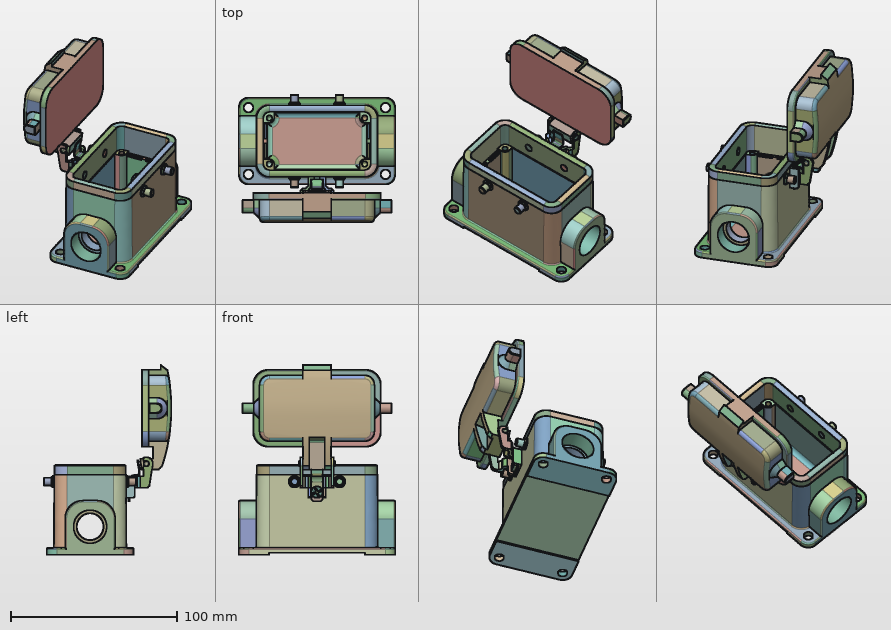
import cadquery as cq
import math

flange_length = 94.0
flange_width = 52.2
flange_height = 4.1
flange_corner = 6.0
edge_round = 0.8
underside_length = 57.5
underside_height = 1.1
mount_hole_diameter = 5.6
mount_hole_x = 41.2
mount_hole_y = 20.1

body_length = 73.4
body_width = 43.8
body_corner = 8.0
body_height = 48.1
body_draft = 0.35
foot_round = 0.7

rim_length = 72.6
rim_width = 43.1
rim_corner = 7.8
rim_wall = 4.1
rim_shoulder_z = 53.4
rim_top_z = 54.2
crown_overlap = 0.6

cavity_floor_z = 4.1
cavity_length = 59.5
cavity_width = 34.0
cavity_corner = 3.4
cavity_floor_round = 3.0
seat_z = 36.5
ledge_drop = 1.1

post_reach_x = 25.8
post_reach_y = 11.0
post_round = 3.0
post_hole_diameter = 3.3
post_hole_x = 28.6
post_hole_y = 13.8
post_hole_depth = 5.7
ledge_groove_width = 1.5
ledge_groove_x = 30.8
ledge_groove_end = 10.3
ledge_rib_width = 3.0

entry_width = 30.1
entry_height = 32.6
entry_corner = 10.8
entry_axis_z = 16.9
entry_bore_diameter = 16.0
entry_counterbore_diameter = 20.0
entry_counterbore_depth = 10.3

stud_diameter = 4.8
stud_collar_diameter = 7.0
stud_x = 13.51
stud_z = 43.9
stud_tip_y = 27.9
stud_collar_y = 23.3
stud_collar_slope = 0.9
stud_collar_step = 0.3
stud_chamfer = 0.4
stud_recess_depth = 0.2

hinge_y = -33.7
hinge_z = 54.7
hinge_pin_diameter = 3.3
hinge_pin_half_length = 11.0
hinge_pin_round = 0.7

sheet = 1.6
bracket_top_z = 47.3
channel_half_width = 5.4
channel_bottom_z = 34.2
channel_front_y = -26.9
channel_back_y = -21.4
wing_bottom_z = 40.1
wing_back_y = -28.4
ear_outer_x = 10.1
ear_back_y = -31.9
ear_radius = 4.0
ear_foot_y = -34.3
ear_foot_chamfer = 1.4
bracket_notch_width = 3.4
bracket_notch_depth = 1.1

leaf_width = 6.8
leaf_thickness = 0.7
leaf_bottom_z = 32.1
leaf_corner = 1.1
leaf_bend_radius = 3.4
leaf_rise_radius = 1.4
leaf_gap = 0.1
leaf_tip_offset = 1.0

screw_head_diameter = 7.0
screw_z = 37.6
screw_head_height = 1.8
screw_slot_length = 4.8
screw_slot_width = 1.0
screw_slot_depth = 0.9
screw_slot_angle = 20

cover_z = 88.0
plate_length = 76.8
plate_height = 46.4
plate_corner = 9.3
plate_back_y = -31.1
plate_front_y = -35.3
plate_round = 0.7

bulge_length = 69.1
bulge_height = 39.7
bulge_corner = 5.9
bulge_round = 2.4
dome_front_y = -48.9
dome_radius = 110.6

arm_width = 16.9
arm_bottom_z = 51.2
arm_back_y = -37.6
arm_foot_chamfer = 2.3
hook_top_z = 114.0
hook_back_y = -42.4
hook_front_z = 110.8
lobe_top_z = 57.7
lobe_top_y = -30.0
lobe_bottom_y = -30.9
lobe_overlap = 1.1

recess_width = 9.6
recess_top_z = 71.0
recess_ceiling_z = 68.6
recess_floor_y = -39.9
recess_round = 1.5

handle_radius = 3.02
handle_axis_y = -40.1
handle_tip_x = 44.9
handle_tip_chamfer = 0.5
cone_tip_x = 38.1
cone_root_x = 33.7
cone_root_radius = 7.1


def rounded_block(length, width, z_low, z_high, corner):
    """Upright block centred on the Z axis with rounded vertical edges."""
    return (
        cq.Workplane("XY", origin=(0, 0, z_low))
        .rect(length, width)
        .extrude(z_high - z_low)
        .edges("|Z")
        .fillet(corner)
    )


def centred_extrusion(points, width):
    """Closed outline of (y, z) points extruded to both sides of X = 0."""
    return cq.Workplane("YZ").polyline(points).close().extrude(width / 2, both=True)


def flange():
    plate = rounded_block(flange_length, flange_width, 0, flange_height, flange_corner)
    return plate.faces(">Z").edges().fillet(edge_round)


def drafted_body():
    outline = cq.Sketch().rect(body_length, body_width).vertices().fillet(body_corner)
    return cq.Workplane("XY").placeSketch(outline).extrude(body_height, taper=body_draft)


def cable_entries():
    """Arched blocks at both ends, flush with the ends of the flange."""
    arch = (
        cq.Workplane("YZ")
        .rect(entry_width, 2 * entry_height)
        .extrude(flange_length / 2, both=True)
        .edges("|X")
        .fillet(entry_corner)
    )
    above_ground = cq.Workplane("XY").box(
        flange_length, entry_width, entry_height, centered=(True, True, False)
    )
    arch = arch.intersect(above_ground)
    return arch.faces("<X or >X").edges("not <Z").fillet(edge_round)


def rim():
    return rounded_block(rim_length, rim_width, cavity_floor_z, rim_top_z, rim_corner)


def rim_crown_cutter():
    """Everything above the rounded crown of the rim, swept around the opening."""
    middle_y = (rim_wall - rim_width) / 2
    rise = rim_top_z - rim_shoulder_z
    radius = ((rim_wall / 2) ** 2 + rise**2) / (2 * rise)
    half_span = rim_wall / 2 + crown_overlap
    edge_z = rim_top_z - radius + math.sqrt(radius**2 - half_span**2)
    path = (
        cq.Workplane("XY")
        .rect(rim_length - rim_wall, rim_width - rim_wall)
        .extrude(1.1)
        .edges("|Z")
        .fillet(rim_corner - rim_wall / 2)
        .faces("<Z")
        .wires()
    )
    profile = (
        cq.Workplane("YZ")
        .moveTo(middle_y - half_span, edge_z)
        .threePointArc((middle_y, rim_top_z), (middle_y + half_span, edge_z))
        .lineTo(middle_y + half_span, rim_top_z + rise)
        .lineTo(middle_y - half_span, rim_top_z + rise)
        .close()
    )
    return profile.sweep(path)


def studs():
    """Locking studs on both long sides."""
    radius = stud_diameter / 2
    collar_radius = stud_collar_diameter / 2
    outline = [
        (0, 0),
        (collar_radius, 0),
        (collar_radius, stud_collar_y - stud_collar_slope),
        (radius + stud_collar_step, stud_collar_y),
        (radius, stud_collar_y),
        (radius, stud_tip_y - stud_chamfer),
        (radius - stud_chamfer, stud_tip_y),
        (0, stud_tip_y),
    ]
    stud = cq.Workplane("XY").polyline(outline).close().revolve(360, (0, 0, 0), (0, 1, 0))
    group = cq.Workplane("XY")
    for turn in (0, 180):
        for x in (-stud_x, stud_x):
            group = group.union(stud.rotate((0, 0, 0), (0, 0, 1), turn).translate((x, 0, stud_z)))
    return group


def posts():
    """Corner posts that carry the insert, flared where they meet the floor."""
    size_x = rim_length / 2 - post_reach_x
    size_y = rim_width / 2 - post_reach_y
    centres = [
        (side_x * (post_reach_x + size_x / 2), side_y * (post_reach_y + size_y / 2))
        for side_x in (-1, 1)
        for side_y in (-1, 1)
    ]
    columns = (
        cq.Workplane("XY")
        .pushPoints(centres)
        .rect(size_x, size_y)
        .extrude(seat_z)
        .edges("|Z")
        .fillet(post_round)
    )
    ground = cq.Workplane("XY").box(
        flange_length, flange_length, cavity_floor_z, centered=(True, True, False)
    )
    foot = cq.selectors.BoxSelector(
        (-45.6, -45.6, cavity_floor_z - 0.1), (45.6, 45.6, cavity_floor_z + 0.1)
    )
    return columns.union(ground).edges(foot).fillet(cavity_floor_round)


def cavity():
    """Inside space: wide above the seat, narrower below with corner posts and a rounded floor."""
    upper = rounded_block(
        rim_length - 2 * rim_wall,
        rim_width - 2 * rim_wall,
        seat_z,
        rim_top_z,
        rim_corner - rim_wall,
    )
    lower = rounded_block(cavity_length, cavity_width, cavity_floor_z, seat_z, cavity_corner)
    lower = lower.union(
        cq.Workplane("XY", origin=(0, 0, seat_z - ledge_drop))
        .rect(rim_length - 2 * rim_wall, 2 * post_reach_y)
        .extrude(ledge_drop)
    )
    lower = lower.faces("<Z").edges().fillet(cavity_floor_round)
    return lower.cut(posts()).union(upper)


def post_holes():
    radius = post_hole_diameter / 2
    drill = (
        cq.Workplane("XZ")
        .polyline([(0, 0), (radius, 0), (radius, -post_hole_depth), (0, -post_hole_depth - radius)])
        .close()
        .revolve(360, (0, 0, 0), (0, 1, 0))
    )
    group = cq.Workplane("XY")
    for x in (-post_hole_x, post_hole_x):
        for y in (-post_hole_y, post_hole_y):
            group = group.union(drill.translate((x, y, seat_z)))
    return group


def ledge_grooves():
    """Narrow grooves in the end ledges, interrupted by a rib in the middle."""
    length = ledge_groove_end - ledge_rib_width / 2
    middle = ledge_groove_end - length / 2
    centres = [
        (side_x * ledge_groove_x, side_y * middle) for side_x in (-1, 1) for side_y in (-1, 1)
    ]
    return (
        cq.Workplane("XY", origin=(0, 0, seat_z - 2 * ledge_drop))
        .pushPoints(centres)
        .rect(ledge_groove_width, length)
        .extrude(2 * ledge_drop)
    )


def entry_bores():
    """Through bore along X with a counterbore at each end."""
    def bore(diameter, start_x, end_x):
        return (
            cq.Workplane("YZ", origin=(start_x, 0, entry_axis_z))
            .circle(diameter / 2)
            .extrude(end_x - start_x)
        )

    end_x = flange_length / 2
    seat_x = end_x - entry_counterbore_depth
    tool = bore(entry_bore_diameter, -end_x, end_x)
    tool = tool.union(bore(entry_counterbore_diameter, -end_x, -seat_x))
    return tool.union(bore(entry_counterbore_diameter, seat_x, end_x))


def stud_recesses():
    """Shallow round marks on the inner walls behind the studs."""
    reach = rim_width / 2 - rim_wall + stud_recess_depth
    return (
        cq.Workplane("XZ", origin=(0, 0, stud_z))
        .pushPoints([(-stud_x, 0), (stud_x, 0)])
        .circle(stud_diameter / 2)
        .extrude(reach, both=True)
    )


def housing_shell():
    shell = flange().union(drafted_body())
    foot = cq.selectors.BoxSelector(
        (-37.6, -22.8, flange_height - 0.1), (37.6, 22.8, flange_height + 0.1)
    )
    shell = shell.edges(foot).fillet(foot_round)
    shell = shell.union(cable_entries()).union(studs())
    shell = shell.union(rim()).cut(cavity()).cut(rim_crown_cutter())
    shell = shell.cut(entry_bores()).cut(post_holes()).cut(ledge_grooves()).cut(stud_recesses())
    underside = cq.Workplane("XY").box(
        underside_length, flange_width, underside_height, centered=(True, True, False)
    )
    mount_holes = (
        cq.Workplane("XY")
        .rect(2 * mount_hole_x, 2 * mount_hole_y, forConstruction=True)
        .vertices()
        .circle(mount_hole_diameter / 2)
        .extrude(flange_height)
    )
    return shell.cut(underside).cut(mount_holes)


def bracket_channel():
    """U-shaped sheet on the housing wall, open to the front."""
    depth = channel_back_y - channel_front_y
    height = bracket_top_z - channel_bottom_z
    outer = (
        cq.Workplane("XY", origin=(0, channel_back_y - depth / 2, channel_bottom_z))
        .rect(2 * channel_half_width, depth)
        .extrude(height)
    )
    inside = (
        cq.Workplane("XY", origin=(0, channel_back_y - depth / 2 - sheet, channel_bottom_z))
        .rect(2 * (channel_half_width - sheet), depth)
        .extrude(height)
    )
    notch = cq.Workplane("XY", origin=(0, 0, bracket_top_z)).box(
        bracket_notch_width, 2 * rim_width, 2 * bracket_notch_depth
    )
    notch = notch.intersect(outer)
    return outer.cut(inside).cut(notch).faces("<Y").edges("<Z").chamfer(edge_round)


def bracket_wing():
    """One bent sheet from the channel wall out to an ear, with its bends."""
    wall_in = channel_half_width - sheet
    wing_front_y = wing_back_y - sheet
    return (
        cq.Workplane("XY", origin=(0, 0, wing_bottom_z))
        .moveTo(wall_in, channel_front_y + sheet)
        .lineTo(channel_half_width, channel_front_y + sheet)
        .lineTo(channel_half_width, channel_front_y)
        .lineTo(channel_half_width + (channel_front_y - wing_back_y), wing_back_y)
        .lineTo(ear_outer_x - sheet, wing_back_y)
        .lineTo(ear_outer_x, wing_front_y)
        .lineTo(ear_outer_x, ear_foot_y)
        .lineTo(ear_outer_x - sheet, ear_foot_y)
        .lineTo(ear_outer_x - sheet, wing_front_y - sheet)
        .lineTo(ear_outer_x - 2 * sheet, wing_front_y)
        .lineTo(channel_half_width, wing_front_y)
        .lineTo(wall_in, channel_front_y - sheet / 2)
        .close()
        .extrude(bracket_top_z - wing_bottom_z)
    )


def bracket_ear():
    """Upright ear with a snap-in slot for the hinge pin."""
    side = cq.Workplane("YZ", origin=(ear_outer_x - sheet, 0, 0))
    eye = side.center(hinge_y, hinge_z).circle(ear_radius).extrude(sheet)

    side = cq.Workplane("YZ", origin=(ear_outer_x - sheet, 0, 0))
    stem = (
        side.polyline([
            (ear_back_y, wing_bottom_z),
            (ear_foot_y, wing_bottom_z),
            (ear_foot_y - ear_foot_chamfer, wing_bottom_z + ear_foot_chamfer),
            (hinge_y - ear_radius, hinge_z),
            (ear_back_y, hinge_z),
        ])
        .close()
        .extrude(sheet)
    )
    slot_length = ear_back_y - hinge_y + ear_radius
    slot = (
        side.center(hinge_y + slot_length / 2, hinge_z)
        .rect(slot_length, hinge_pin_diameter)
        .extrude(sheet)
    )
    pin_hole = side.center(hinge_y, hinge_z).circle(hinge_pin_diameter / 2).extrude(sheet)
    behind = (
        side.center(ear_back_y + ear_radius, hinge_z)
        .rect(2 * ear_radius, 2 * ear_radius)
        .extrude(sheet)
    )
    return eye.cut(behind).union(stem).cut(slot).cut(pin_hole)


def leaf_spring():
    """Bent leaf that lies in the channel and rises behind the cover lobe."""
    half_root = math.sqrt(0.5)
    back_y = channel_back_y - sheet
    front_y = back_y - leaf_thickness
    upright_y = lobe_bottom_y + lobe_top_y - lobe_bottom_y + leaf_gap
    bend_y = front_y - leaf_bend_radius
    bend_z = bracket_top_z - leaf_bend_radius
    rise_y = upright_y + leaf_rise_radius
    rise_z = bracket_top_z + leaf_rise_radius
    outer_bend = leaf_bend_radius + leaf_thickness
    inner_rise = leaf_rise_radius - leaf_thickness
    tip_y = lobe_top_y + leaf_tip_offset
    tip_z = lobe_top_z - leaf_tip_offset
    leaf = (
        cq.Workplane("YZ")
        .moveTo(back_y, leaf_bottom_z)
        .lineTo(front_y, leaf_bottom_z)
        .lineTo(front_y, bend_z)
        .threePointArc(
            (bend_y + leaf_bend_radius * half_root, bend_z + leaf_bend_radius * half_root),
            (bend_y, bracket_top_z),
        )
        .lineTo(rise_y, bracket_top_z)
        .threePointArc(
            (rise_y - leaf_rise_radius * half_root, rise_z - leaf_rise_radius * half_root),
            (upright_y, rise_z),
        )
        .lineTo(upright_y, arm_bottom_z)
        .lineTo(tip_y, tip_z)
        .lineTo(tip_y + leaf_thickness, tip_z)
        .lineTo(upright_y + leaf_thickness, arm_bottom_z)
        .lineTo(upright_y + leaf_thickness, rise_z)
        .threePointArc(
            (rise_y - inner_rise * half_root, rise_z - inner_rise * half_root),
            (rise_y, bracket_top_z + leaf_thickness),
        )
        .lineTo(bend_y, bracket_top_z + leaf_thickness)
        .threePointArc(
            (bend_y + outer_bend * half_root, bend_z + outer_bend * half_root),
            (back_y, bend_z),
        )
        .close()
        .extrude(leaf_width / 2, both=True)
    )
    return leaf.faces("<Z").edges("|Y").chamfer(leaf_corner)


def screw_head():
    """Pan head with a cross recess, holding the leaf and the bracket."""
    seat_y = channel_back_y - sheet
    height = leaf_thickness + screw_head_height
    head = (
        cq.Workplane("XZ", origin=(0, seat_y, screw_z))
        .circle(screw_head_diameter / 2)
        .extrude(height)
        .faces("<Y")
        .edges()
        .fillet(edge_round)
    )
    cross = (
        cq.Workplane("XZ", origin=(0, seat_y - height, screw_z))
        .transformed(rotate=(0, 0, screw_slot_angle))
        .rect(screw_slot_length, screw_slot_width)
        .extrude(-screw_slot_depth)
    )
    turned = cross.rotate((0, 0, screw_z), (0, 1, screw_z), 90)
    return head.cut(cross).cut(turned)


def build_housing():
    wing_and_ear = bracket_wing().union(bracket_ear())
    body = housing_shell().union(bracket_channel())
    body = body.union(wing_and_ear).union(wing_and_ear.mirror("YZ"))
    return body.union(leaf_spring()).union(screw_head())


def cover_panel(length, height, back_y, front_y, corner):
    """Upright panel facing -Y with rounded corners."""
    return (
        cq.Workplane("XZ", origin=(0, back_y, cover_z))
        .rect(length, height)
        .extrude(back_y - front_y)
        .edges("|Y")
        .fillet(corner)
    )


def dome_y(z):
    """Y of the curved front at height z."""
    return dome_front_y + dome_radius - math.sqrt(dome_radius**2 - (z - cover_z) ** 2)


def plate():
    panel = cover_panel(plate_length, plate_height, plate_back_y, plate_front_y, plate_corner)
    return panel.faces("<Y").edges().fillet(plate_round)


def bulge():
    block = cover_panel(bulge_length, bulge_height, plate_back_y, dome_front_y, bulge_corner)
    dome = (
        cq.Workplane("YZ")
        .center(dome_front_y + dome_radius, cover_z)
        .circle(dome_radius)
        .extrude(plate_length, both=True)
    )
    return block.intersect(dome).faces("<Y").edges().fillet(bulge_round)


def arm():
    """Central band from the latch hook over the dome down to the hinge."""
    top_z = cover_z + plate_height / 2
    low_z = cover_z - plate_height / 2
    foot_z = arm_bottom_z + arm_foot_chamfer
    foot_y = dome_y(foot_z)
    return (
        cq.Workplane("YZ")
        .moveTo(plate_back_y, top_z)
        .lineTo(hook_back_y, top_z)
        .lineTo(hook_back_y, hook_top_z)
        .lineTo(dome_y(hook_front_z), hook_front_z)
        .threePointArc((dome_front_y, cover_z), (foot_y, foot_z))
        .lineTo(foot_y + arm_foot_chamfer, arm_bottom_z)
        .lineTo(arm_back_y, arm_bottom_z)
        .lineTo(arm_back_y, low_z)
        .lineTo(plate_back_y, low_z)
        .close()
        .extrude(arm_width / 2, both=True)
    )


def lobe():
    """Knuckle that carries the hinge pin between the bracket ears."""
    front_y = arm_back_y - lobe_overlap
    outline = [
        (front_y, lobe_top_z),
        (lobe_top_y, lobe_top_z),
        (lobe_bottom_y, arm_bottom_z),
        (front_y, arm_bottom_z),
    ]
    return centred_extrusion(outline, arm_width)


def hinge_pin():
    pin = (
        cq.Workplane("YZ", origin=(-hinge_pin_half_length, hinge_y, hinge_z))
        .circle(hinge_pin_diameter / 2)
        .extrude(2 * hinge_pin_half_length)
    )
    return pin.faces("<X or >X").edges().fillet(hinge_pin_round)


def arm_recess():
    """Flat-bottomed recess in the front of the arm with a sloping ceiling."""
    outline = [
        (dome_front_y, recess_top_z),
        (recess_floor_y, recess_ceiling_z),
        (recess_floor_y, arm_bottom_z),
        (dome_front_y, arm_bottom_z),
    ]
    inner_corner = cq.selectors.NearestToPointSelector((0, recess_floor_y, recess_ceiling_z))
    return centred_extrusion(outline, recess_width).edges(inner_corner).fillet(recess_round)


def handle():
    """Half-round side handle with a conical root."""
    def section(x, radius):
        return (
            cq.Workplane("YZ", origin=(x, 0, cover_z))
            .moveTo(plate_front_y, radius)
            .lineTo(handle_axis_y, radius)
            .threePointArc((handle_axis_y - radius, 0), (handle_axis_y, -radius))
            .lineTo(plate_front_y, -radius)
            .close()
        )

    bar_root_x = bulge_length / 2 - bulge_round
    bar = section(bar_root_x, handle_radius).extrude(handle_tip_x - bar_root_x)
    bar = bar.faces(">X").edges().chamfer(handle_tip_chamfer)
    small = section(cone_tip_x, handle_radius).wires().val()
    large = section(cone_root_x, cone_root_radius).wires().val()
    root = cq.Workplane(cq.Solid.makeLoft([large, small], True))
    return bar.union(root)


def build_cover():
    body = bulge().union(arm()).union(plate())
    body = body.union(lobe()).union(hinge_pin()).cut(arm_recess())
    return body.union(handle()).union(handle().mirror("YZ"))


housing = build_housing()
cover = build_cover()
result = cq.Compound.makeCompound([*housing.vals(), *cover.vals()])